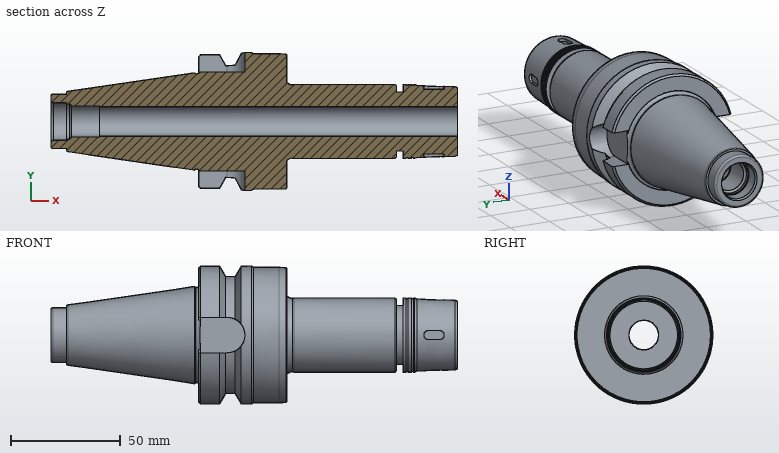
import cadquery as cq
import math


length = 185.4
tail_r = 25.0 / 2
tail_round = 1.0
tail_inset = tail_round * (1 - math.sqrt(0.5))
spigot_length = 7.0
taper_start_x = 7.8
taper_step_r = 27.0 / 2
gauge_x = 65.5
gauge_r = 44.5 / 2
taper_slope = 7 / 48
taper_start_r = gauge_r - (gauge_x - taper_start_x) * taper_slope

relief_r = 43.5 / 2
relief_edge = gauge_r - relief_r
root_fillet = 1.9
fillet_inset = root_fillet * (1 - math.sqrt(0.5))

flange_x = 67.3
recess_floor_x = 68.2
flange_r = 63.0 / 2
flange_chamfer = 1.0
groove_start_x = 77.0
groove_end_x = 86.8
groove_r = 53.5 / 2
groove_flank = (flange_r - groove_r) * math.tan(math.radians(30))
rim_end_x = 91.4
body_r = 62.0 / 2
rim_chamfer = 1.0
body_taper_x = 104.0
body_end_x = 107.5
body_edge = 0.4
body_end_r = 30.8

shank_r = 34.0 / 2
root_r = 33.5 / 2
root_end_x = 110.1
root_flare = 1.1
shank_step_x = 110.9
shank_end_x = 157.5
shank_chamfer = 0.7
neck_r = 27.0 / 2
collar_x = 160.5
collar_end_x = 165.7
ring_width = 1.0
ring_depth = 0.4
ring_positions = (162.5, 164.8)

nut_x = 166.9
nut_r = 16.5
nut_end_r = 16.0
nut_chamfer = 1.1
nut_chamfer_drop = 0.5

bore_r = 13.3 / 2
thread_r = 14.0 / 2
thread_mouth_r = 16.0 / 2
pilot_r = 17.0 / 2
pilot_mouth_r = 18.2 / 2
pilot_mouth_length = 1.1
pilot_depth = 7.0
seat_depth = 1.5
seat_end_x = pilot_depth + seat_depth
thread_end_x = 22.2

slot_count = 2
slot_width = 16.1
slot_end_x = 88.5
slot_floor = 22.6

spanner_count = 4
spanner_x = 174.6
spanner_length = 9.3
spanner_width = 4.0
spanner_floor = 14.8


def turned_body():
    """Solid of revolution holding every outside diameter."""
    root_mid = ((body_end_x + root_end_x) / 2, root_r + root_flare / 4)
    profile = (
        cq.Workplane("XY")
        .moveTo(0, 0)
        .lineTo(0, tail_r - tail_round)
        .threePointArc((tail_inset, tail_r - tail_inset), (tail_round, tail_r))
        .lineTo(spigot_length, tail_r)
        .lineTo(spigot_length, taper_step_r)
        .lineTo(taper_start_x, taper_start_r)
        .lineTo(gauge_x, gauge_r)
        .lineTo(gauge_x + relief_edge, relief_r)
        .lineTo(recess_floor_x - root_fillet, relief_r)
        .threePointArc(
            (recess_floor_x - fillet_inset, relief_r + fillet_inset),
            (recess_floor_x, relief_r + root_fillet),
        )
        .lineTo(flange_x, relief_r + root_fillet)
        .lineTo(flange_x, flange_r - flange_chamfer)
        .lineTo(flange_x + flange_chamfer, flange_r)
        .lineTo(groove_start_x, flange_r)
        .lineTo(groove_start_x + groove_flank, groove_r)
        .lineTo(groove_end_x - groove_flank, groove_r)
        .lineTo(groove_end_x, flange_r)
        .lineTo(rim_end_x, flange_r)
        .lineTo(rim_end_x + rim_chamfer, body_r)
        .lineTo(body_taper_x, body_r)
        .lineTo(body_end_x - body_edge, body_end_r)
        .lineTo(body_end_x, body_end_r - body_edge)
        .lineTo(body_end_x, root_r + root_flare)
        .threePointArc(root_mid, (root_end_x, root_r))
        .lineTo(shank_step_x, shank_r)
        .lineTo(shank_end_x - shank_chamfer, shank_r)
        .lineTo(shank_end_x, shank_r - shank_chamfer)
        .lineTo(shank_end_x, neck_r)
        .lineTo(collar_x, neck_r)
        .lineTo(collar_x, shank_r)
        .lineTo(collar_end_x, shank_r)
        .lineTo(nut_x, nut_r)
        .lineTo(length - nut_chamfer, nut_end_r)
        .lineTo(length, nut_end_r - nut_chamfer_drop)
        .lineTo(length, 0)
        .close()
    )
    return profile.revolve(360, (0, 0, 0), (1, 0, 0))


def bore():
    """Through bore with a threaded seat and a pilot bore at the tail."""
    profile = (
        cq.Workplane("XY")
        .moveTo(0, 0)
        .lineTo(0, pilot_mouth_r)
        .lineTo(pilot_mouth_length, pilot_r)
        .lineTo(pilot_depth, pilot_r)
        .lineTo(pilot_depth, thread_mouth_r)
        .lineTo(seat_end_x, thread_mouth_r)
        .lineTo(seat_end_x + thread_mouth_r - thread_r, thread_r)
        .lineTo(thread_end_x, thread_r)
        .lineTo(thread_end_x, bore_r)
        .lineTo(length, bore_r)
        .lineTo(length, 0)
        .close()
    )
    return profile.revolve(360, (0, 0, 0), (1, 0, 0))


def collar_ring(center_x):
    """Ring cut out of the collar as a shallow groove."""
    return (
        cq.Workplane("YZ", origin=(center_x - ring_width / 2, 0, 0))
        .circle(flange_r)
        .circle(shank_r - ring_depth)
        .extrude(ring_width)
    )


def drive_slot():
    """Round-ended slot, open towards the tail, on the -Y side of the flange."""
    half = slot_width / 2
    arc_start_x = slot_end_x - half
    return (
        cq.Workplane("XZ", origin=(0, -slot_floor, 0))
        .moveTo(gauge_x, -half)
        .lineTo(arc_start_x, -half)
        .threePointArc((slot_end_x, 0), (arc_start_x, half))
        .lineTo(gauge_x, half)
        .close()
        .extrude(flange_r)
    )


def spanner_slot():
    """Flat-bottomed obround pocket on the -Y side of the nut."""
    return (
        cq.Workplane("XZ", origin=(spanner_x, -spanner_floor, 0))
        .slot2D(spanner_length, spanner_width)
        .extrude(flange_r)
    )


def around_axis(shape, index, count):
    """Turn a shape about X to its place in an even pattern."""
    return shape.rotate((0, 0, 0), (1, 0, 0), 360 * index / count)


result = turned_body().cut(bore())

for ring_x in ring_positions:
    result = result.cut(collar_ring(ring_x))

for index in range(slot_count):
    result = result.cut(around_axis(drive_slot(), index, slot_count))

for index in range(spanner_count):
    result = result.cut(around_axis(spanner_slot(), index, spanner_count))